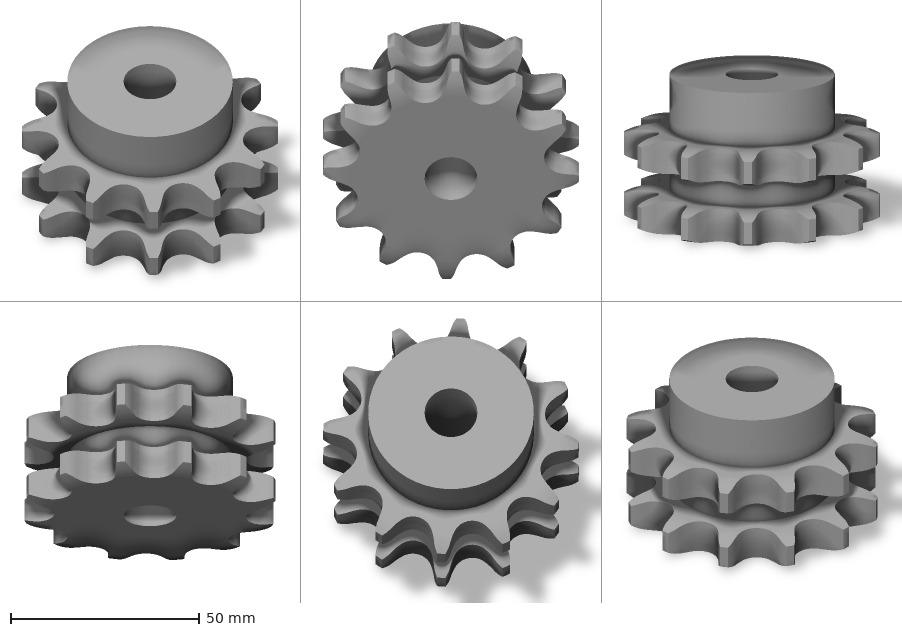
import cadquery as cq
import math


pitch = 15.875
roller_dia = 10.16
row_spacing = 16.5

teeth = 12
tip_radius = 34.0
tooth_width = 9.0
side_radius = 16.0
side_depth = 1.5
hub_dia = 44.0
bore_dia = 14.0
total_height = 40.0

tooth_step = 360 / teeth
pitch_radius = pitch / (2 * math.sin(math.pi / teeth))

seat_clearance = 0.0381
seat_radius = 0.5025 * roller_dia + seat_clearance
seat_angle = 35 + 60 / teeth
working_angle = 18 - 56 / teeth
working_offset = 0.8 * roller_dia
working_radius = working_offset + seat_radius
topping_offset = 1.4 * roller_dia
topping_angle = 17 - 64 / teeth
topping_run = topping_offset * math.sin(math.radians(topping_angle))
working_run = working_offset * math.sin(math.radians(working_angle))
flank_length = topping_run - working_run


def polar(centre, radius, degrees):
    """Point at a distance and direction from a centre."""
    angle = math.radians(degrees)
    return (centre[0] + radius * math.cos(angle), centre[1] + radius * math.sin(angle))


def rotated(point, degrees):
    """Point turned about the sprocket axis."""
    radius = math.hypot(*point)
    return polar((0, 0), radius, math.degrees(math.atan2(point[1], point[0])) + degrees)


def direction(start, end):
    """Direction from one point to another, in degrees from 0 to 360."""
    return math.degrees(math.atan2(end[1] - start[1], end[0] - start[0])) % 360


def left_flank():
    """Points of the left half of the gap centred on +Y, from tooth tip to seating arc."""
    seat_centre = (0, pitch_radius)
    working_centre = polar(seat_centre, working_offset, seat_angle)
    seat_end = polar(seat_centre, seat_radius, 180 + seat_angle)
    working_mid = polar(working_centre, working_radius, 180 + seat_angle - working_angle / 2)
    flank_normal = 180 + seat_angle - working_angle
    working_end = polar(working_centre, working_radius, flank_normal)
    flank_end = polar(working_end, flank_length, flank_normal - 90)

    topping_centre = polar(seat_centre, topping_offset, 180 + 180 / teeth)
    topping_radius = math.dist(topping_centre, flank_end)
    centre_distance = math.hypot(*topping_centre)
    tip_offset = math.acos(
        (centre_distance**2 + tip_radius**2 - topping_radius**2) / (2 * centre_distance * tip_radius)
    )
    tip = polar((0, 0), tip_radius, direction((0, 0), topping_centre) - math.degrees(tip_offset))
    topping_mid_angle = (direction(topping_centre, tip) + direction(topping_centre, flank_end)) / 2
    topping_mid = polar(topping_centre, topping_radius, topping_mid_angle)
    return tip, topping_mid, flank_end, working_end, working_mid, seat_end


def mirrored(point):
    """Point reflected across the centre line of the gap."""
    return (-point[0], point[1])


def toothed_prism():
    """Plain disc of tooth width with all tooth gaps, before the sides are rounded."""
    tip, topping_mid, flank_end, working_end, working_mid, seat_end = left_flank()
    seat_bottom = (0, pitch_radius - seat_radius)
    tip_mid = polar((0, 0), tip_radius, 90 - tooth_step / 2)

    outline = cq.Workplane("XY").moveTo(*tip)
    for index in range(teeth):
        turn = -index * tooth_step

        def at(point):
            """Point moved to the current tooth gap."""
            return rotated(point, turn)

        outline = (
            outline.threePointArc(at(topping_mid), at(flank_end))
            .lineTo(*at(working_end))
            .threePointArc(at(working_mid), at(seat_end))
            .threePointArc(at(seat_bottom), at(mirrored(seat_end)))
            .threePointArc(at(mirrored(working_mid)), at(mirrored(working_end)))
            .lineTo(*at(mirrored(flank_end)))
            .threePointArc(at(mirrored(topping_mid)), at(mirrored(tip)))
            .threePointArc(at(tip_mid), rotated(tip, turn - tooth_step))
        )
    return outline.close().extrude(tooth_width)


def rounded_blank():
    """Turned disc whose sides curve in towards the tip circle."""
    side_reach = math.sqrt(side_radius**2 - (side_radius - side_depth) ** 2)
    side_start = tip_radius - side_reach
    half_sweep = math.asin(side_reach / side_radius) / 2
    mid_radius = side_start + side_radius * math.sin(half_sweep)
    mid_depth = side_radius * (1 - math.cos(half_sweep))
    return (
        cq.Workplane("XZ")
        .lineTo(side_start, 0)
        .threePointArc((mid_radius, mid_depth), (tip_radius, side_depth))
        .lineTo(tip_radius, tooth_width - side_depth)
        .threePointArc((mid_radius, tooth_width - mid_depth), (side_start, tooth_width))
        .lineTo(0, tooth_width)
        .close()
        .revolve(360, (0, 0, 0), (0, 1, 0))
    )


def hub():
    """Full-height cylinder that carries both tooth rows."""
    return cq.Workplane("XY").circle(hub_dia / 2).extrude(total_height)


def bore():
    """Through hole on the axis."""
    return cq.Workplane("XY").circle(bore_dia / 2).extrude(total_height)


tooth_row = toothed_prism().intersect(rounded_blank())

result = hub()
for row_height in (0, row_spacing):
    result = result.union(tooth_row.translate((0, 0, row_height)))
result = result.cut(bore())